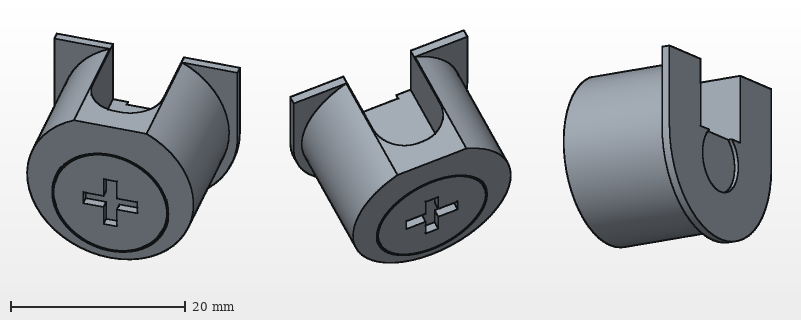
import cadquery as cq


body_radius = 10.0
total_length = 15.0
top_z = 9.0

flange_radius = 11.0
flange_thickness = 1.0
flange_straight_height = 9.5
flange_arc_z = top_z - flange_straight_height

slot_width = 8.5
slot_length = 12.0
slot_depth = 8.0
slot_corner_radius = 4.0

cam_radius = 6.8
cam_clearance = 0.2
cam_z = top_z - 11.0
cam_groove_depth = 0.5
cam_pocket_radius = cam_radius + cam_clearance

back_recess_radius = 3.85
back_recess_depth = 0.5

cross_span = 6.5
cross_arm_width = 1.6
cross_depth = 1.0


def disc(radius, center_z, back_y, length):
    """Cylinder along Y, running from back_y toward the front (-Y)."""
    return cq.Workplane("XZ", origin=(0, back_y, center_z)).circle(radius).extrude(length)


def make_body():
    barrel = disc(body_radius, 0, 0, total_length)
    keep_height = top_z + body_radius
    keep_below_top = (
        cq.Workplane("XY", origin=(0, 0, top_z - keep_height))
        .box(2 * body_radius, 2 * total_length, keep_height, centered=(True, True, False))
    )
    return barrel.intersect(keep_below_top)


def make_flange():
    return (
        cq.Workplane("XZ")
        .moveTo(-flange_radius, top_z)
        .lineTo(-flange_radius, flange_arc_z)
        .threePointArc((0, flange_arc_z - flange_radius), (flange_radius, flange_arc_z))
        .lineTo(flange_radius, top_z)
        .close()
        .extrude(flange_thickness)
    )


def make_slot():
    return (
        cq.Workplane("XY", origin=(0, -slot_length, top_z - slot_depth))
        .box(slot_width, slot_length, slot_depth, centered=(True, False, False))
        .edges("|Z and <Y")
        .fillet(slot_corner_radius)
    )


def make_cam_groove():
    groove_back_y = cam_groove_depth - total_length
    outer = disc(cam_pocket_radius, cam_z, groove_back_y, cam_groove_depth)
    inner = disc(cam_radius, cam_z, groove_back_y, cam_groove_depth)
    return outer.cut(inner)


def make_back_recess():
    return disc(back_recess_radius, cam_z, 0, back_recess_depth)


def make_driver_cross():
    front_plane = cq.Workplane("XZ", origin=(0, cross_depth - total_length, cam_z))
    horizontal_arm = front_plane.rect(cross_span, cross_arm_width).extrude(cross_depth)
    vertical_arm = front_plane.rect(cross_arm_width, cross_span).extrude(cross_depth)
    return horizontal_arm.union(vertical_arm)


result = (
    make_body()
    .union(make_flange())
    .cut(make_slot())
    .cut(make_cam_groove())
    .cut(make_back_recess())
    .cut(make_driver_cross())
)